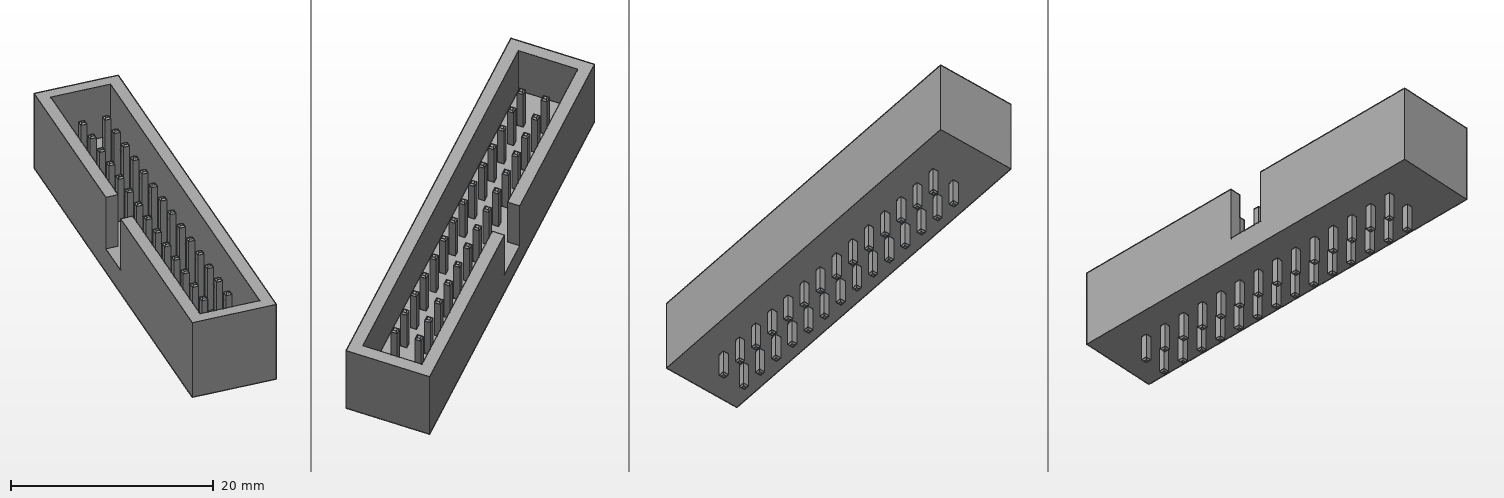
import cadquery as cq


shroud_length = 43.2
shroud_width = 8.9
shroud_height = 8.9
end_wall = 1.2
side_wall = 1.3
cavity_depth = 6.15
notch_width = 4.0

pin_columns = 14
pin_rows = 2
row_length = 33.05
pin_side = 0.65
pin_chamfer = 0.16
pin_tail = 3.02
pin_recess = 0.95

floor_height = shroud_height - cavity_depth
pin_pitch = row_length / (pin_columns - 1)


def make_shroud():
    """Block with a rectangular cavity and a notch through the front wall down to its floor."""
    block = cq.Workplane("XY").box(
        shroud_length, shroud_width, shroud_height, centered=(True, True, False)
    )
    cavity = (
        cq.Workplane("XY", origin=(0, 0, floor_height))
        .rect(shroud_length - 2 * end_wall, shroud_width - 2 * side_wall)
        .extrude(cavity_depth)
    )
    notch = (
        cq.Workplane("XY", origin=(0, -shroud_width / 4, floor_height))
        .rect(notch_width, shroud_width / 2)
        .extrude(cavity_depth)
    )
    return block.cut(cavity).cut(notch)


def make_pins():
    """Grid of square pins, chamfered at both tips, passing through the shroud floor."""
    pin_length = pin_tail + shroud_height - pin_recess
    return (
        cq.Workplane("XY", origin=(0, 0, -pin_tail))
        .rarray(pin_pitch, pin_pitch, pin_columns, pin_rows)
        .rect(pin_side, pin_side)
        .extrude(pin_length)
        .faces("<Z or >Z")
        .chamfer(pin_chamfer)
    )


result = make_shroud().union(make_pins())